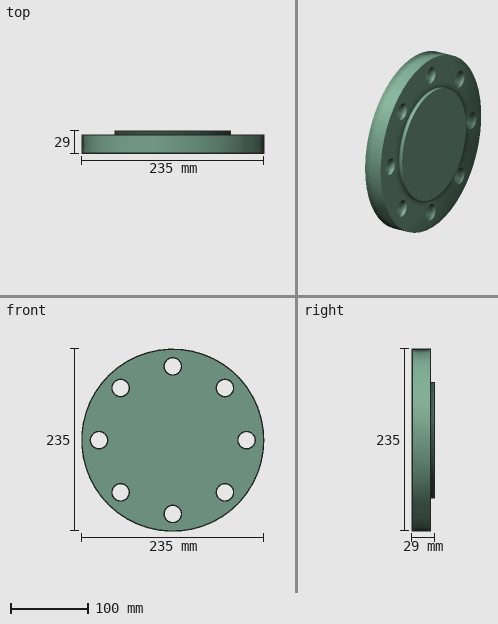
import cadquery as cq

flange_diameter = 235.0
total_thickness = 29.0
raised_face_height = 5.0
raised_face_diameter = 149.2
bolt_circle_diameter = 190.4
bolt_hole_diameter = 22.0
bolt_count = 8

flange_thickness = total_thickness - raised_face_height


def disc(diameter, y_start, thickness):
    """Disc on the Y axis, running from y_start toward +Y."""
    plane = cq.Workplane("XZ", origin=(0, y_start, 0))
    return plane.circle(diameter / 2).extrude(-thickness)


def bolt_holes():
    """Ring of through-hole cutters, the first one on the +X axis."""
    return (
        cq.Workplane("XZ")
        .polarArray(bolt_circle_diameter / 2, 0, 360, bolt_count)
        .circle(bolt_hole_diameter / 2)
        .extrude(-flange_thickness)
    )


flange = disc(flange_diameter, 0, flange_thickness)
raised_face = disc(raised_face_diameter, flange_thickness, raised_face_height)
result = flange.union(raised_face).cut(bolt_holes())